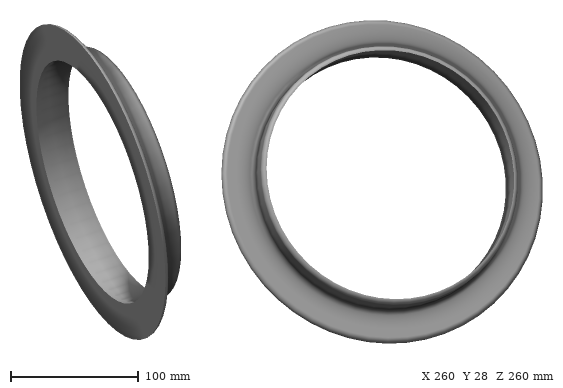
import cadquery as cq

flange_radius = 130.0
bore_radius = 100.0
wall_thickness = 4.0
total_depth = 28.0

collar_radius = bore_radius + wall_thickness
edge_radius = wall_thickness
root_radius = wall_thickness

edge_offset = edge_radius * (1 - 0.5 ** 0.5)
root_offset = root_radius * (1 - 0.5 ** 0.5)

section = (
    cq.Workplane("XY")
    .moveTo(bore_radius, 0)
    .lineTo(flange_radius, 0)
    .threePointArc(
        (flange_radius - edge_offset, wall_thickness - edge_offset),
        (flange_radius - edge_radius, wall_thickness),
    )
    .lineTo(collar_radius + root_radius, wall_thickness)
    .threePointArc(
        (collar_radius + root_offset, wall_thickness + root_offset),
        (collar_radius, wall_thickness + root_radius),
    )
    .lineTo(collar_radius, total_depth - edge_radius)
    .threePointArc(
        (collar_radius - edge_offset, total_depth - edge_offset),
        (bore_radius, total_depth),
    )
    .close()
)

result = section.revolve(360, (0, 0, 0), (0, 1, 0))